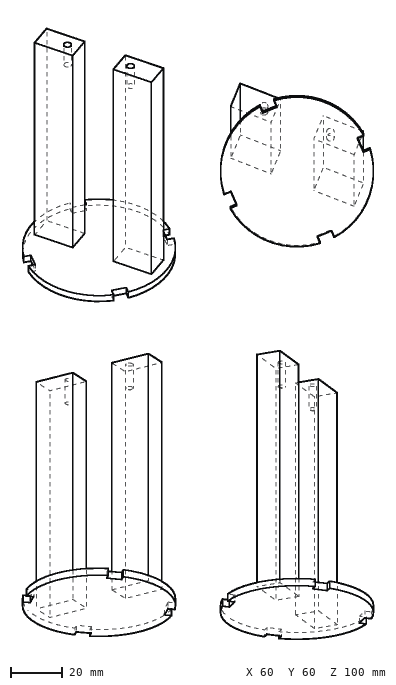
import cadquery as cq
import math

base_diameter = 60.0
base_thickness = 3.0

notch_width = 6.0
notch_depth = 3.0
notch_angles = (45, 135, 225, 315)

total_height = 100.0
post_length = 17.0
post_width = 10.0
post_center_x = 17.5
post_height = total_height - base_thickness

hole_diameter = 3.0
hole_center_x = 14.0
hole_depth = 10.0
drill_point_angle = 118.0


def make_base():
    """Disc standing on the XY plane."""
    return cq.Workplane("XY").circle(base_diameter / 2).extrude(base_thickness)


def make_notch(angle):
    """Cutter for one flat-floored rim notch."""
    floor_distance = base_diameter / 2 - notch_depth
    return (
        cq.Workplane("XY", origin=(floor_distance, 0, 0))
        .rect(2 * notch_depth, notch_width)
        .extrude(base_thickness)
        .translate((notch_depth, 0, 0))
        .rotate((0, 0, 0), (0, 0, 1), angle)
    )


def make_drill():
    """Cutter for a drilled hole that opens at the origin and runs down -Z."""
    radius = hole_diameter / 2
    point_height = radius / math.tan(math.radians(drill_point_angle / 2))
    profile = (
        cq.Workplane("XZ")
        .moveTo(0, 0)
        .lineTo(radius, 0)
        .lineTo(radius, -hole_depth)
        .lineTo(0, -hole_depth - point_height)
        .close()
    )
    return profile.revolve(360, (0, 0, 0), (0, 1, 0))


def make_post(side):
    """Post on the given side of the plate (-1 or 1), with its top hole."""
    post = (
        cq.Workplane("XY", origin=(side * post_center_x, 0, base_thickness))
        .rect(post_length, post_width)
        .extrude(post_height)
    )
    hole = make_drill().translate((side * hole_center_x, 0, total_height))
    return post.cut(hole)


result = make_base()
for notch_angle in notch_angles:
    result = result.cut(make_notch(notch_angle))
for post_side in (-1, 1):
    result = result.union(make_post(post_side))